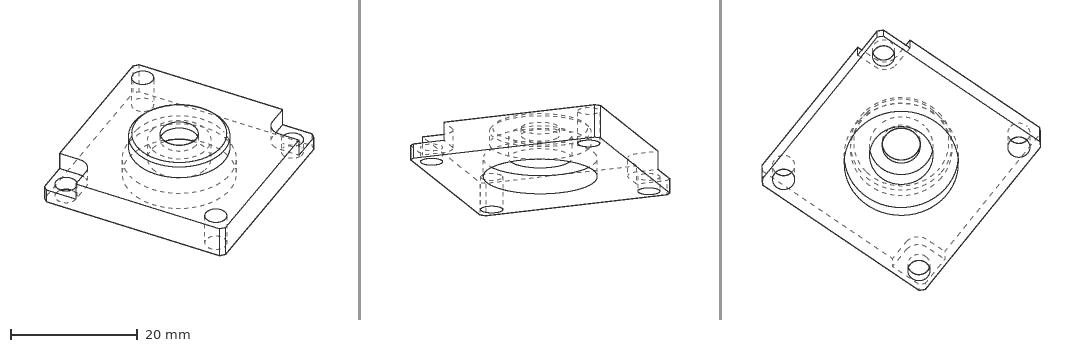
import cadquery as cq

plate_side = 32.0
plate_height = 5.38
corner_chamfer = 0.7

total_height = 8.0
boss_diameter = 16.0
boss_chamfer = 0.5
bore_diameter = 6.0
bore_lip_height = 1.2

cavity_diameter = 10.0
seat_diameter = 18.0
seat_depth = 3.0

hole_spacing = 26.5
hole_diameter = 3.5

recess_side = 5.9
recess_depth = 3.0
recess_radius = 2.4


def make_plate():
    plate = cq.Workplane("XY").box(plate_side, plate_side, plate_height, centered=(True, True, False))
    return plate.edges("|Z").chamfer(corner_chamfer)


def make_boss():
    boss = cq.Workplane("XY").circle(boss_diameter / 2).extrude(total_height)
    return boss.faces(">Z").edges().chamfer(boss_chamfer)


def make_corner_recess(side):
    """Cutter for the corner at (side, side), where side is -1 or 1; only its inner corner is rounded."""
    center = side * (plate_side - recess_side) / 2
    cutter = (
        cq.Workplane("XY", origin=(center, center, plate_height - recess_depth))
        .rect(recess_side, recess_side)
        .extrude(recess_depth)
    )
    inner_edge = "<(1, 1, 0)" if side > 0 else ">(1, 1, 0)"
    return cutter.edges("|Z").edges(inner_edge).fillet(recess_radius)


def make_holes():
    bore = cq.Workplane("XY").circle(bore_diameter / 2).extrude(total_height)
    mounting_holes = (
        cq.Workplane("XY")
        .rect(hole_spacing, hole_spacing, forConstruction=True)
        .vertices()
        .circle(hole_diameter / 2)
        .extrude(plate_height)
    )
    return bore.union(mounting_holes)


def make_cavity():
    cavity = cq.Workplane("XY").circle(cavity_diameter / 2).extrude(total_height - bore_lip_height)
    seat = cq.Workplane("XY").circle(seat_diameter / 2).extrude(seat_depth)
    return cavity.union(seat)


result = make_plate().union(make_boss())
for corner_side in (-1, 1):
    result = result.cut(make_corner_recess(corner_side))
result = result.cut(make_holes())
result = result.cut(make_cavity())